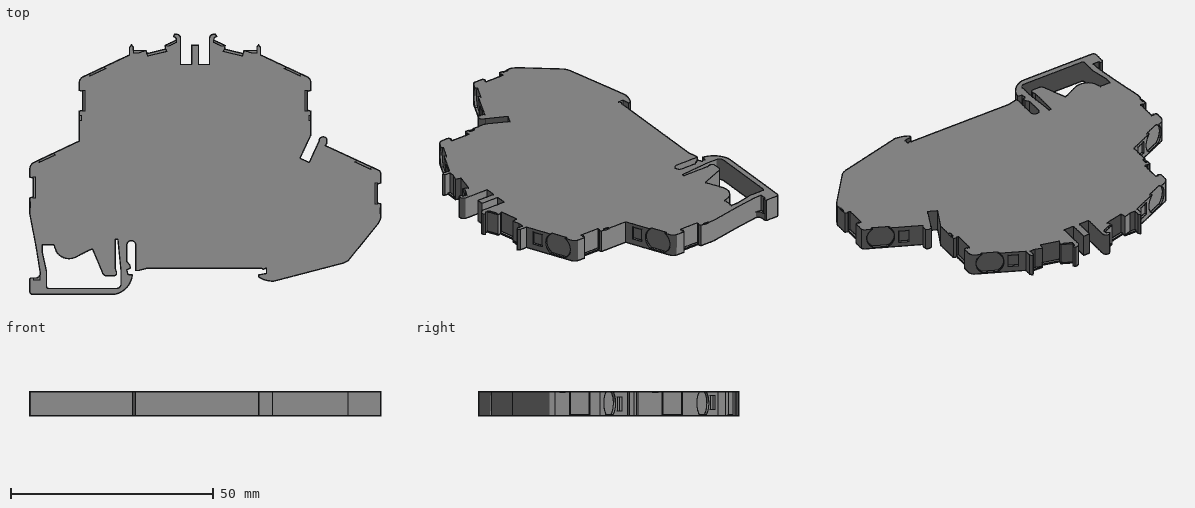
import cadquery as cq
import math

LENGTH = 86.8
HEIGHT = 64.35
THICKNESS = 6.0
LIP = 0.35

TOWER_X = 40.9
TOWER_HALF_WIDTH = 28.7
TOWER_BASE = 39.4
TAB_HALF_WIDTH = 0.9
TAB_TOP = 61.65
TAB_SLOT_HALF_WIDTH = 3.6
TAB_SLOT_FLOOR = 56.9
SLOPE_ANGLE = 25.0

NOTCH_HEIGHT = 5.1
NOTCH_CHAMFER = 0.3
NOTCH_DEPTH = 0.9
POCKET_DEPTH = 1.5
TOWER_NOTCH_TOP = 50.45
LEFT_NOTCH_TOP = 29.0
RIGHT_NOTCH_TOP = 27.5

MARK_GAP = 1.0
MARK_HEIGHT = 1.3
MARK_SINK = 0.2
TOWER_MARK_WIDTH = 0.5
SIDE_MARK_WIDTH = 0.3

TOWER_ENTRY = (16.6, 55.5)
LEFT_ENTRY = (4.1, 34.1)
RIGHT_ENTRY = (82.7, 32.4)
ENTRY_RADIUS = 3.5
ENTRY_DEPTH = 0.6
ENTRY_Z = (LIP + THICKNESS) / 2
OPENING_LENGTH = 2.6
OPENING_HEIGHT = 3.5
OPENING_OFFSET = 5.8

WEB_X = 2.6
FOOT_TOP = 4.1
GUSSET_RADIUS = 1.1
GUSSET_HEIGHT = 1.65
FOOT_POCKET_WIDTH = 1.65
FOOT_POCKET_DEPTH = 0.5


def plate(outline, bottom=0.0, top=THICKNESS):
    """Extrude a closed XY outline between two heights."""
    return outline.extrude(top - bottom).translate((0, 0, bottom))


def mirrored_tower(solid):
    """Return the solid reflected to the other side of the tower centre line."""
    return solid.mirror("YZ", (TOWER_X, 0, 0))


def lower_body():
    """Wide base: left shoulder, right latch arm, rail seat and clip foot."""
    outline = (
        cq.Workplane("XY")
        .moveTo(0.9, 0)
        .lineTo(21.0, 0)
        .threePointArc((23.9, 1.6), (25.45, 4.9))
        .lineTo(24.3, 4.95)
        .lineTo(24.05, 6.1)
        .lineTo(24.9, 6.5)
        .lineTo(24.8, 7.2)
        .lineTo(24.05, 8.2)
        .lineTo(24.05, 12.25)
        .threePointArc((25.1, 13.3), (26.2, 12.25))
        .lineTo(26.2, 5.9)
        .lineTo(27.0, 5.9)
        .lineTo(28.9, 6.4)
        .lineTo(57.4, 6.4)
        .lineTo(57.75, 6.2)
        .lineTo(58.5, 6.5)
        .lineTo(58.5, 5.2)
        .lineTo(56.6, 4.9)
        .lineTo(56.6, 4.3)
        .lineTo(57.0, 4.1)
        .threePointArc((58.2, 3.6), (59.5, 3.3))
        .lineTo(60.0, 3.2)
        .lineTo(60.5, 3.3)
        .lineTo(77.55, 7.7)
        .lineTo(78.8, 8.3)
        .lineTo(86.2, 17.5)
        .lineTo(LENGTH, 18.85)
        .lineTo(LENGTH, 30.05)
        .threePointArc((86.5, 30.6), (85.9, 30.9))
        .lineTo(73.1, 36.8)
        .lineTo(73.5, 37.3)
        .lineTo(73.5, 38.5)
        .threePointArc((72.7, 39.0), (71.55, 37.95))
        .lineTo(69.1, 32.65)
        .lineTo(66.9, 33.7)
        .lineTo(TOWER_X + TOWER_HALF_WIDTH, TOWER_BASE)
        .lineTo(TOWER_X - TOWER_HALF_WIDTH, TOWER_BASE)
        .lineTo(TOWER_X - TOWER_HALF_WIDTH, 37.95)
        .lineTo(0.9, 32.6)
        .threePointArc((0.35, 32.05), (0, 30.9))
        .lineTo(0, 20.0)
        .lineTo(1.6, 11.8)
        .lineTo(WEB_X, 5.3)
        .lineTo(WEB_X, FOOT_TOP)
        .lineTo(0.3, FOOT_TOP)
        .lineTo(0, 3.8)
        .lineTo(0, 0.7)
        .threePointArc((0.3, 0.2), (0.9, 0))
        .close()
    )
    return plate(outline)


def clip_window():
    """Opening between the clip foot and the body, with its spring finger."""
    outline = (
        cq.Workplane("XY")
        .moveTo(3.1, 12.25)
        .lineTo(6.0, 12.25)
        .lineTo(6.5, 10.8)
        .threePointArc((8.5, 9.0), (11.4, 9.2))
        .lineTo(14.8, 10.9)
        .lineTo(15.55, 11.2)
        .lineTo(17.9, 5.65)
        .threePointArc((18.2, 4.95), (18.8, 4.6))
        .lineTo(20.75, 4.6)
        .threePointArc((21.4, 4.9), (21.5, 5.4))
        .lineTo(21.2, 6.4)
        .lineTo(21.2, 13.6)
        .lineTo(21.8, 13.6)
        .lineTo(22.6, 5.65)
        .lineTo(22.6, 2.6)
        .threePointArc((22.2, 1.8), (21.4, 1.5))
        .lineTo(4.7, 1.5)
        .threePointArc((4.3, 1.65), (4.2, 2.0))
        .lineTo(4.2, 5.8)
        .lineTo(3.1, 10.5)
        .close()
    )
    return plate(outline)


def foot_gusset():
    """Concave corner fill between the foot top and the web."""
    center = (WEB_X - GUSSET_RADIUS, FOOT_TOP + GUSSET_RADIUS)
    chord = GUSSET_RADIUS * math.sqrt(0.5)
    outline = (
        cq.Workplane("XY")
        .moveTo(WEB_X, FOOT_TOP)
        .lineTo(WEB_X, center[1])
        .threePointArc((center[0] + chord, center[1] - chord), (center[0], FOOT_TOP))
        .close()
    )
    return plate(outline, 0, GUSSET_HEIGHT)


def foot_pocket():
    """Pocket that lowers the foot top above the gusset."""
    outline = (
        cq.Workplane("XY")
        .moveTo(WEB_X - FOOT_POCKET_WIDTH / 2, FOOT_TOP - FOOT_POCKET_DEPTH / 2)
        .rect(FOOT_POCKET_WIDTH, FOOT_POCKET_DEPTH)
    )
    return plate(outline, GUSSET_HEIGHT)


def half_tower():
    """Left half of the tower, from the centre tab to the side wall."""
    def left(offset):
        return TOWER_X - offset

    outline = (
        cq.Workplane("XY")
        .moveTo(left(0), TOWER_BASE)
        .lineTo(left(0), TAB_TOP)
        .lineTo(left(TAB_HALF_WIDTH), TAB_TOP)
        .lineTo(left(TAB_HALF_WIDTH), TAB_SLOT_FLOOR)
        .lineTo(left(TAB_SLOT_HALF_WIDTH), TAB_SLOT_FLOOR)
        .lineTo(left(TAB_SLOT_HALF_WIDTH), 63.5)
        .threePointArc((left(3.8), 64.0), (left(4.4), HEIGHT))
        .lineTo(left(5.0), HEIGHT)
        .lineTo(left(5.4), 63.8)
        .lineTo(left(4.7), 63.4)
        .lineTo(left(4.7), 62.9)
        .lineTo(left(7.5), 61.6)
        .lineTo(left(7.3), 60.7)
        .lineTo(left(11.9), 59.6)
        .lineTo(left(12.1), 60.35)
        .lineTo(left(15.3), 60.35)
        .lineTo(left(15.3), 61.2)
        .lineTo(left(15.7), 61.7)
        .lineTo(left(16.2), 61.05)
        .lineTo(left(16.2), 59.2)
        .lineTo(left(27.9), 53.75)
        .threePointArc((left(28.4), 53.2), (left(TOWER_HALF_WIDTH), 52.4))
        .lineTo(left(TOWER_HALF_WIDTH), TOWER_BASE)
        .close()
    )
    ledges = [
        [(4.6, 62.9), (7.5, 61.6), (6.5, 61.4), (4.6, 62.35)],
        [(7.3, 60.7), (11.9, 59.6), (11.7, 59.0), (6.95, 60.1)],
        [(12.1, 60.35), (15.3, 60.35), (15.3, 59.75), (13.9, 59.75)],
    ]
    tower = plate(outline)
    for corners in ledges:
        points = [(left(offset), y) for offset, y in corners]
        tower = tower.cut(plate(cq.Workplane("XY").polyline(points).close(), LIP))
    return tower


def side_notch(side_x, inward, top, mark_width):
    """Notch in a vertical side, its deeper pocket above the lip and the mark below it.

    inward is +1 on a left side and -1 on a right side.
    """
    bottom = top - NOTCH_HEIGHT
    notch_x = side_x + inward * NOTCH_DEPTH
    through = (
        cq.Workplane("XY")
        .polyline([
            (side_x, bottom),
            (notch_x, bottom + NOTCH_CHAMFER),
            (notch_x, top - NOTCH_CHAMFER),
            (side_x, top),
        ])
        .close()
    )
    pocket = (
        cq.Workplane("XY")
        .moveTo((notch_x + side_x + inward * POCKET_DEPTH) / 2, (top + bottom) / 2)
        .rect(POCKET_DEPTH - NOTCH_DEPTH, NOTCH_HEIGHT)
    )
    mark = (
        cq.Workplane("XY")
        .moveTo(side_x + inward * mark_width / 2, bottom - MARK_GAP - MARK_HEIGHT / 2)
        .rect(mark_width, MARK_HEIGHT)
    )
    notch = plate(through).union(plate(pocket, LIP))
    return notch.union(plate(mark, THICKNESS - MARK_SINK))


def slope_recess(center, inward):
    """Round wire entry centred on a sloped face, and the opening above it.

    inward is +1 on a left slope and -1 on a right slope.
    """
    x, y = center
    angle = math.radians(SLOPE_ANGLE)
    up_slope = cq.Vector(inward * math.cos(angle), math.sin(angle), 0)
    outward = cq.Vector(-inward * math.sin(angle), math.cos(angle), 0)
    face = cq.Workplane(cq.Plane((x, y, ENTRY_Z), up_slope, outward))
    entry = face.circle(ENTRY_RADIUS).extrude(ENTRY_DEPTH, both=True)
    opening = (
        face.center(OPENING_OFFSET, THICKNESS / 2 - ENTRY_Z)
        .rect(OPENING_LENGTH, OPENING_HEIGHT)
        .extrude(ENTRY_DEPTH, both=True)
    )
    lip_zone = plate(cq.Workplane("XY").center(x, y).circle(2 * ENTRY_RADIUS), 0, LIP)
    return entry.cut(lip_zone).union(opening)


left_half = half_tower()
body = lower_body().cut(clip_window()).union(foot_gusset()).cut(foot_pocket())
body = body.union(left_half).union(mirrored_tower(left_half))

tower_cuts = side_notch(TOWER_X - TOWER_HALF_WIDTH, 1, TOWER_NOTCH_TOP, TOWER_MARK_WIDTH)
tower_cuts = tower_cuts.union(slope_recess(TOWER_ENTRY, 1))
body = body.cut(tower_cuts).cut(mirrored_tower(tower_cuts))

body = body.cut(side_notch(0, 1, LEFT_NOTCH_TOP, SIDE_MARK_WIDTH))
body = body.cut(side_notch(LENGTH, -1, RIGHT_NOTCH_TOP, SIDE_MARK_WIDTH))
body = body.cut(slope_recess(LEFT_ENTRY, 1))
body = body.cut(slope_recess(RIGHT_ENTRY, -1))

result = body